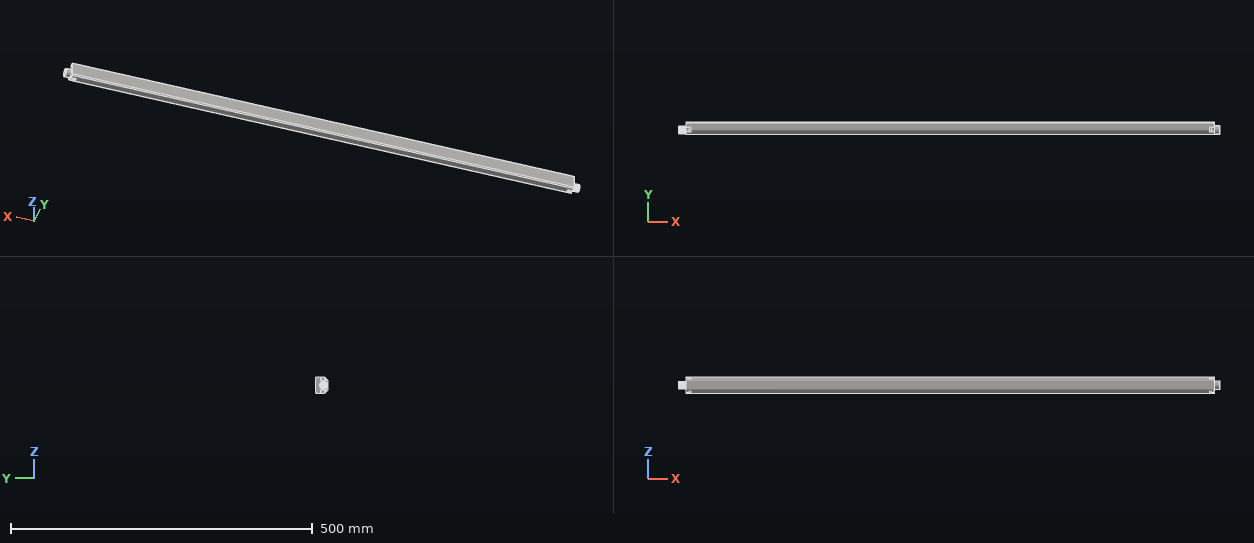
import cadquery as cq
import math

total_length = 898.0
depth = 20.99
height = 28.0
back_y = depth / 2
front_y = -back_y
tip_x = total_length / 2

back_chamfer = 2.0
front_face_height = 15.0
flank_run = (height - front_face_height) / 2
shoulder_y = front_y + flank_run
flank_radius = 3.0

body_center_x = 1.5
profile_length = 850.0
cap_length = 13.0
cap_draft = 0.45
cap_base_distance = profile_length / 2
cap_end_distance = cap_base_distance + cap_length

slot_y = -2.1
slot_floor_center_z = 11.0
neck_slot_radius = 3.75
neck_slot_depth = 5.0
head_slot_radius = 4.5
head_slot_length = 3.5

connector_y = -3.0
tip_chamfer = 1.0

plain_radius = 7.25

thread_radius = 6.5
thread_pitch = 1.5
thread_depth = 0.8
socket_radius = 4.8
socket_depth = 8.0
insert_radius = 3.4
insert_setback = 1.0
pin_circle_radius = 1.8
pin_radius = 0.5
pin_depth = 5.0
pin_count = 4


def section_sketch():
    """Bar outline in the YZ plane."""
    half_height = height / 2
    half_front = front_face_height / 2
    back_corner_z = half_height - back_chamfer
    outline = [
        (back_y, back_corner_z),
        (back_y - back_chamfer, half_height),
        (shoulder_y, half_height),
        (front_y, half_front),
        (front_y, -half_front),
        (shoulder_y, -half_height),
        (back_y - back_chamfer, -half_height),
        (back_y, -back_corner_z),
        (back_y, back_corner_z),
    ]
    flank_corners = cq.selectors.BoxSelector((-depth, -height, -depth), (0, height, depth))
    return cq.Sketch().polygon(outline).vertices(flank_corners).fillet(flank_radius)


def plane_at(x, direction):
    """Plane across the bar at x, facing along +X or -X, with Z as its first axis."""
    return cq.Plane(origin=(x, 0, 0), xDir=(0, 0, 1), normal=(direction, 0, 0))


def rod(x, direction, radius, length, y=connector_y, z=0.0):
    """Cylinder parallel to X that starts at x and grows along the given direction."""
    return cq.Workplane(plane_at(x, direction)).center(z, -direction * y).circle(radius).extrude(length)


def cap_end_x(direction):
    return body_center_x + direction * cap_end_distance


def profile():
    start_x = body_center_x - profile_length / 2
    return cq.Workplane("YZ", origin=(start_x, 0, 0)).placeSketch(section_sketch()).extrude(profile_length)


def screw_slot(start_x, direction, side, radius, length):
    """Round-floored slot from start_x along the given direction, open at the +Z or -Z side."""
    center_z = side * slot_floor_center_z
    floor = rod(start_x, direction, radius, length, slot_y, center_z)
    opening = (
        cq.Workplane("XY", origin=(start_x + direction * length / 2, slot_y, center_z))
        .rect(length, 2 * radius)
        .extrude(side * height / 2)
    )
    return floor.union(opening)


def end_cap(direction):
    """Cap with a slight draft towards its outer end and a T-shaped screw slot on each side."""
    plus_cap = cq.Workplane("YZ").placeSketch(section_sketch()).extrude(cap_length, taper=cap_draft)
    cap = plus_cap if direction > 0 else plus_cap.mirror("YZ")
    cap = cap.translate((body_center_x + direction * cap_base_distance, 0, 0))
    neck_start_x = cap_end_x(direction)
    head_start_x = neck_start_x - direction * neck_slot_depth
    for side in (1, -1):
        cap = cap.cut(screw_slot(neck_start_x, -direction, side, neck_slot_radius, neck_slot_depth))
        cap = cap.cut(screw_slot(head_start_x, -direction, side, head_slot_radius, head_slot_length))
    return cap


def connector_body(direction, radius):
    """Round plug from the cap end to the tip, chamfered at the tip."""
    start_x = cap_end_x(direction)
    length = abs(direction * tip_x - start_x)
    tip_face = ">X" if direction > 0 else "<X"
    return rod(start_x, direction, radius, length).faces(tip_face).chamfer(tip_chamfer)


def thread_groove(start_x):
    """Ring with a V section that cuts one groove into the threaded connector."""
    root_radius = thread_radius - thread_depth
    return (
        cq.Workplane("XY")
        .moveTo(start_x, connector_y + thread_radius)
        .lineTo(start_x + thread_pitch / 2, connector_y + root_radius)
        .lineTo(start_x + thread_pitch, connector_y + thread_radius)
        .close()
        .revolve(360, (0, connector_y, 0), (1, connector_y, 0))
    )


def threaded_connector():
    """Plug with a row of thread grooves and an annular socket around an insert with contact holes."""
    plug = connector_body(-1, thread_radius)
    thread_start_x = -tip_x + tip_chamfer
    groove_count = int((cap_end_x(-1) - thread_start_x) / thread_pitch)
    for index in range(groove_count):
        plug = plug.cut(thread_groove(thread_start_x + index * thread_pitch))
    insert_x = -tip_x + insert_setback
    plug = plug.cut(rod(-tip_x, 1, socket_radius, socket_depth))
    plug = plug.union(rod(insert_x, 1, insert_radius, socket_depth - insert_setback))
    for index in range(pin_count):
        angle = math.tau * (index + 0.5) / pin_count
        pin_y = connector_y + pin_circle_radius * math.cos(angle)
        pin_z = pin_circle_radius * math.sin(angle)
        plug = plug.cut(rod(insert_x, 1, pin_radius, pin_depth, pin_y, pin_z))
    return plug


result = profile()
for end_part in (end_cap(-1), end_cap(1), threaded_connector(), connector_body(1, plain_radius)):
    result = result.union(end_part)